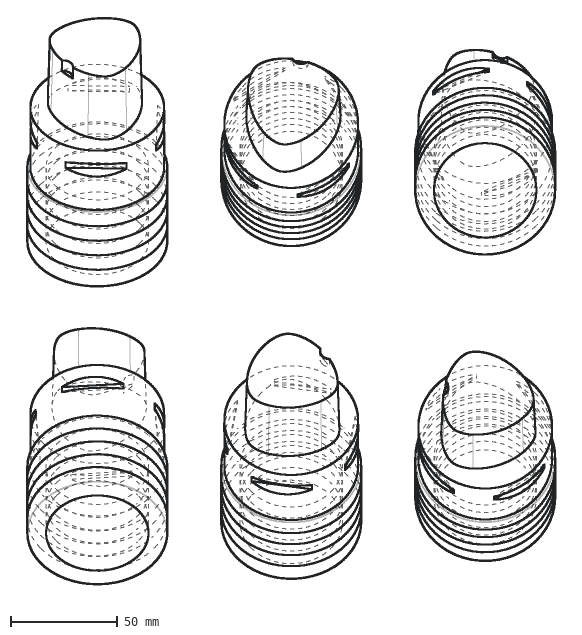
import cadquery as cq
import math

total_height = 120.5
collar_top = 82.4

collar_diameter = 63.0
core_diameter = 48.2
ring_stack_top = 45.9

groove_count = 4
groove_start_angle = 45.0
groove_mid_height = 70.4
groove_floor_height = 3.4
groove_depth = 3.5
groove_flare_angle = 32.0

lobe_count = 3
shank_base_radius = 22.2
shank_top_radius = 21.3
lobe_height = 1.7
flat_half_angle = 22.5
points_per_face = 9

notch_radius = 4.7
notch_depth_down = 6.5
notch_floor_y = -17.7

ring_count = 5
ring_diameter = 65.9
ring_pitch = 8.9
ring_edge_fillet = 0.2


def shank_point(mean_radius, angle):
    """Point of the constant-width lobed outline whose normal points along angle (degrees)."""
    normal = math.radians(angle)
    lobe_phase = lobe_count * (normal - math.pi / 2)
    support = mean_radius + lobe_height * math.cos(lobe_phase)
    slope = -lobe_count * lobe_height * math.sin(lobe_phase)
    return (
        support * math.cos(normal) - slope * math.sin(normal),
        support * math.sin(normal) + slope * math.cos(normal),
    )


def shank_outline(mean_radius, height):
    """Closed wire of alternating flat-side and lobe curves."""
    lobe_pitch = 360.0 / lobe_count
    edges = []
    for lobe in range(lobe_count):
        flat_start = -90.0 - flat_half_angle + lobe * lobe_pitch
        flat_end = flat_start + 2 * flat_half_angle
        next_flat = flat_start + lobe_pitch
        for start, end in ((flat_start, flat_end), (flat_end, next_flat)):
            step = (end - start) / (points_per_face - 1)
            points = [
                cq.Vector(*shank_point(mean_radius, start + i * step), height)
                for i in range(points_per_face)
            ]
            edges.append(cq.Edge.makeSpline(points))
    return cq.Wire.assembleEdges(edges)


def make_shank():
    base = shank_outline(shank_base_radius, collar_top)
    top = shank_outline(shank_top_radius, total_height)
    shank = cq.Workplane(obj=cq.Solid.makeLoft([base, top], True))
    notch = (
        cq.Workplane("XY", origin=(0, notch_floor_y - notch_radius, total_height))
        .circle(notch_radius)
        .extrude(-notch_depth_down)
    )
    return shank.cut(notch)


def make_groove(angle):
    """Straight flared groove across the collar, facing outward along angle."""
    floor_distance = collar_diameter / 2 - groove_depth
    cutter_depth = 2 * groove_depth
    floor_half = groove_floor_height / 2
    mouth_half = floor_half + cutter_depth * math.tan(math.radians(groove_flare_angle))
    profile = [
        (floor_distance, groove_mid_height - floor_half),
        (floor_distance + cutter_depth, groove_mid_height - mouth_half),
        (floor_distance + cutter_depth, groove_mid_height + mouth_half),
        (floor_distance, groove_mid_height + floor_half),
    ]
    return (
        cq.Workplane("XZ")
        .polyline(profile)
        .close()
        .extrude(collar_diameter / 2, both=True)
        .rotate((0, 0, 0), (0, 0, 1), angle)
    )


def make_holder():
    core = cq.Workplane("XY").circle(core_diameter / 2).extrude(ring_stack_top)
    collar = (
        cq.Workplane("XY", origin=(0, 0, ring_stack_top))
        .circle(collar_diameter / 2)
        .extrude(collar_top - ring_stack_top)
    )
    for i in range(groove_count):
        collar = collar.cut(make_groove(groove_start_angle + i * 360.0 / groove_count))
    return core.union(collar).union(make_shank())


def make_ring(bottom, top):
    """Plain ring with both outer edges rounded."""
    disc = (
        cq.Workplane("XY", origin=(0, 0, bottom))
        .circle(ring_diameter / 2)
        .extrude(top - bottom)
        .edges("%CIRCLE")
        .fillet(ring_edge_fillet)
    )
    bore = (
        cq.Workplane("XY", origin=(0, 0, bottom))
        .circle(core_diameter / 2)
        .extrude(top - bottom)
    )
    return disc.cut(bore)


holder = make_holder()

rings = []
for i in range(ring_count):
    upper_face = ring_stack_top - i * ring_pitch
    lower_face = 0.0 if i == ring_count - 1 else upper_face - ring_pitch
    rings.append(make_ring(lower_face, upper_face))

result = cq.Compound.makeCompound([holder.val(), *[ring.val() for ring in rings]])